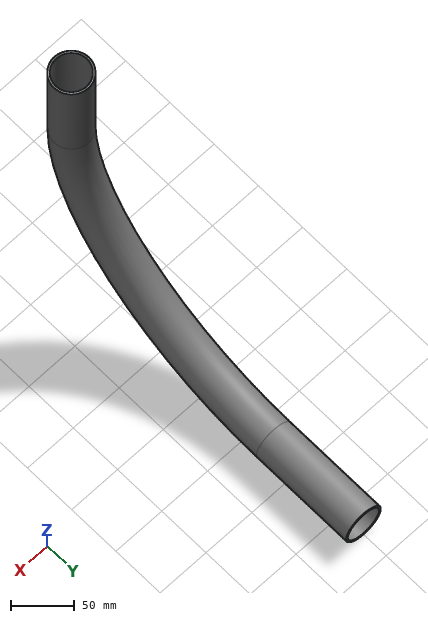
import cadquery as cq
import math

outer_diameter = 38.1
inner_diameter = 33.88
bend_radius = 228.6
leg_length = 101.6
leg_end = bend_radius + leg_length


def centreline():
    """Path from the top of the upright leg, round the bend, to the +Y end.

    The two leg axes, extended, meet at the origin.
    """
    bend_middle = bend_radius * (1 - math.sqrt(0.5))
    return (
        cq.Workplane("YZ")
        .moveTo(0, leg_end)
        .lineTo(0, bend_radius)
        .threePointArc((bend_middle, bend_middle), (bend_radius, 0))
        .lineTo(leg_end, 0)
    )


def bent_tube():
    """Sweep the annular tube section along the centreline."""
    section = (
        cq.Workplane("XY", origin=(0, 0, leg_end))
        .circle(outer_diameter / 2)
        .circle(inner_diameter / 2)
    )
    return section.sweep(centreline())


result = bent_tube()